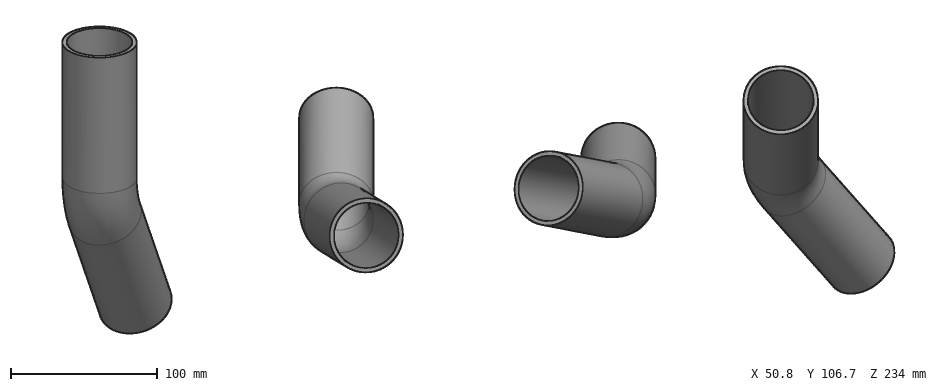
import cadquery as cq
import math

outer_diameter = 50.8
inner_diameter = 44.7
leg_length = 101.6
bend_radius = 63.5
bend_angle = 30.0


def point_on_bend(angle_degrees):
    """Centreline point (y, z) on the bend, which starts at the origin and curves down toward +Y."""
    angle = math.radians(angle_degrees)
    y = bend_radius * (1 - math.cos(angle))
    z = -bend_radius * math.sin(angle)
    return (y, z)


def make_centreline():
    """Vertical upper leg, circular bend, then the inclined lower leg."""
    lean = math.radians(bend_angle)
    bend_middle = point_on_bend(bend_angle / 2)
    bend_end = point_on_bend(bend_angle)
    lower_end = (
        bend_end[0] + leg_length * math.sin(lean),
        bend_end[1] - leg_length * math.cos(lean),
    )
    return (
        cq.Workplane("YZ")
        .moveTo(0, leg_length)
        .lineTo(0, 0)
        .threePointArc(bend_middle, bend_end)
        .lineTo(*lower_end)
    )


def make_tube():
    """Ring section at the upper end, swept along the centreline."""
    return (
        cq.Workplane("XY", origin=(0, 0, leg_length))
        .circle(outer_diameter / 2)
        .circle(inner_diameter / 2)
        .sweep(make_centreline())
    )


result = make_tube()